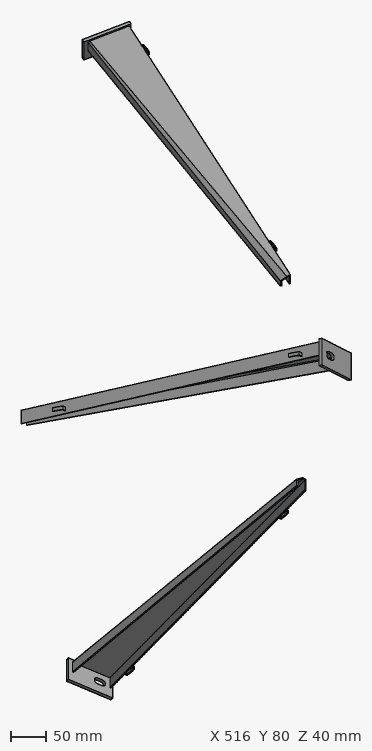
import cadquery as cq
import math


plate_thickness = 5.0
plate_width = 75.0
plate_height = 40.0
plate_margin = 3.0
slot_length = 18.5
slot_height = 11.0
slot_inset = 21.5

total_length = 516
sheet = 2.0
arm_height = 20.0
tip_front_height = 18.0
tip_setback = 1.5
root_fold = 62.5
root_bevel_width = 2.5
root_bevel_drop = 1.5
tip_fold = 6.0
tip_bevel_width = 9.5
tip_bevel_drop = 6.0

hook_start = 36.0
hook_pitch = 402.5
hook_count = 2
hook_length = 17.0
hook_reach = 8.0
hook_rise = 1.5
hook_ramp_length = 7.5
hook_height = 5.0
hook_top = -11.0


def make_plate():
    """Rectangular end plate with a horizontal slot through it."""
    centre_z = plate_margin - plate_height / 2
    plate = cq.Workplane("XY").box(
        plate_thickness, plate_width, plate_height, centered=False
    ).translate((0, plate_margin - plate_width, plate_margin - plate_height))
    slot = (
        cq.Workplane("YZ")
        .center(plate_margin - slot_inset, centre_z)
        .slot2D(slot_length, slot_height)
        .extrude(plate_thickness)
    )
    return plate.cut(slot)


def outer_section(fold, bevel_width, bevel_drop, front_height):
    """Outer (Y, Z) outline of the arm at one end."""
    front = fold + bevel_width
    return [(0, 0), (-fold, 0), (-front, -bevel_drop), (-front, -front_height), (0, -arm_height)]


def inner_section(fold, bevel_width, bevel_drop):
    """Outline of the channel, one sheet thickness inside and open below the arm."""
    bevel_angle = math.atan2(bevel_drop, bevel_width)
    inner_fold = fold - sheet * math.tan(bevel_angle / 2)
    inner_front = fold + bevel_width - sheet
    inner_drop = bevel_drop + sheet * math.tan((math.pi / 2 - bevel_angle) / 2)
    floor = -arm_height - sheet
    return [
        (-sheet, -sheet),
        (-inner_fold, -sheet),
        (-inner_front, -inner_drop),
        (-inner_front, floor),
        (-sheet, floor),
    ]


def taper(root_outline, tip_outline):
    """Straight-sided solid from the end plate to the tip."""
    return (
        cq.Workplane("YZ", origin=(plate_thickness, 0, 0))
        .polyline(root_outline)
        .close()
        .workplane(offset=total_length - plate_thickness)
        .polyline(tip_outline)
        .close()
        .loft(ruled=True)
    )


def make_hook(start):
    """Stem standing off the back flange, with a lip that points along +X."""
    inner_reach = hook_reach - sheet
    ramp_end = start + sheet + hook_ramp_length
    lip_end = start + hook_length
    outline = [
        (start, 0),
        (start, hook_reach - hook_rise),
        (ramp_end, hook_reach),
        (lip_end, hook_reach),
        (lip_end, inner_reach),
        (ramp_end, inner_reach),
        (start + sheet, inner_reach - hook_rise),
        (start + sheet, 0),
    ]
    return (
        cq.Workplane("XY", origin=(0, 0, hook_top - hook_height))
        .polyline(outline)
        .close()
        .extrude(hook_height)
    )


def make_arm():
    """Tapered channel, open below, with a bevelled front and hooks at the back."""
    root = (root_fold, root_bevel_width, root_bevel_drop)
    tip = (tip_fold, tip_bevel_width, tip_bevel_drop)
    body = taper(outer_section(*root, arm_height), outer_section(*tip, tip_front_height))
    channel = taper(inner_section(*root), inner_section(*tip))
    arm = body.cut(channel)

    tip_front = tip_fold + tip_bevel_width
    plan = [
        (plate_thickness, 0),
        (total_length - tip_setback, 0),
        (total_length, -tip_fold),
        (total_length - tip_setback, -tip_front),
        (total_length - tip_setback, -plate_width),
        (plate_thickness, -plate_width),
    ]
    envelope = cq.Workplane("XY").polyline(plan).close().extrude(-arm_height)
    arm = arm.intersect(envelope)

    for index in range(hook_count):
        arm = arm.union(make_hook(hook_start + index * hook_pitch))
    return arm


plate = make_plate()
arm = make_arm()
result = cq.Compound.makeCompound([plate.val(), *arm.solids().vals()])